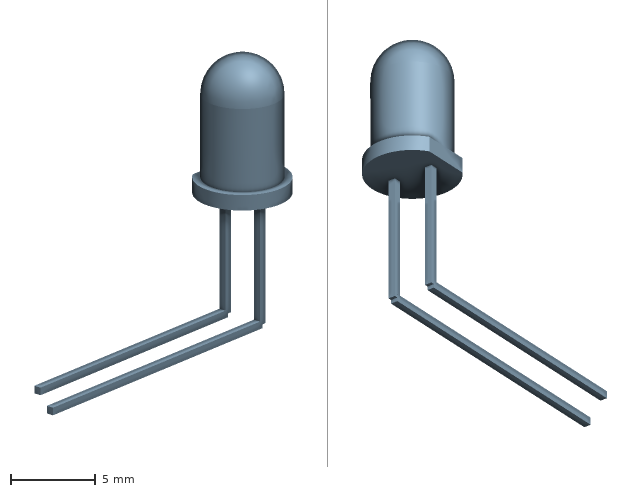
import cadquery as cq

lens_radius = 2.5
body_height = 8.8
flange_radius = 3.0
flange_height = 1.0
lead_width = 0.48
lead_offset = 1.36
bend_depth = 8.0
long_reach = 19.0
reach_difference = 2.0

short_reach = long_reach - reach_difference


def make_housing():
    """Domed lens on a round flange, cut flat on -X in line with the lens wall."""
    flange = cq.Workplane("XY").circle(flange_radius).extrude(flange_height)
    flat_limit = (
        cq.Workplane("XY")
        .box(2 * flange_radius, 2 * flange_radius, flange_height, centered=(False, True, False))
        .translate((-lens_radius, 0, 0))
    )
    lens = (
        cq.Workplane("XZ")
        .lineTo(lens_radius, 0)
        .lineTo(lens_radius, body_height - lens_radius)
        .radiusArc((0, body_height), -lens_radius)
        .close()
        .revolve(360, (0, 0), (0, 1))
    )
    return flange.intersect(flat_limit).union(lens)


def make_horizontal_lead(x, reach):
    """Straight wire running from the lens axis plane towards -Y."""
    return (
        cq.Workplane("XY")
        .box(lead_width, reach, lead_width)
        .translate((x, -reach / 2, -bend_depth))
    )


def make_vertical_lead(x, horizontal_lead):
    """Wire below the flange, notched where the horizontal lead enters its lower end."""
    return (
        cq.Workplane("XY")
        .center(x, 0)
        .rect(lead_width, lead_width)
        .extrude(-bend_depth)
        .cut(horizontal_lead)
    )


housing = make_housing()

vertical_leads = []
horizontal_leads = []
for x, reach in ((-lead_offset, short_reach), (lead_offset, long_reach)):
    horizontal_lead = make_horizontal_lead(x, reach)
    horizontal_leads.append(horizontal_lead.val())
    vertical_leads.append(make_vertical_lead(x, horizontal_lead).solids().val())

result = cq.Compound.makeCompound([housing.solids().val(), *vertical_leads, *horizontal_leads])